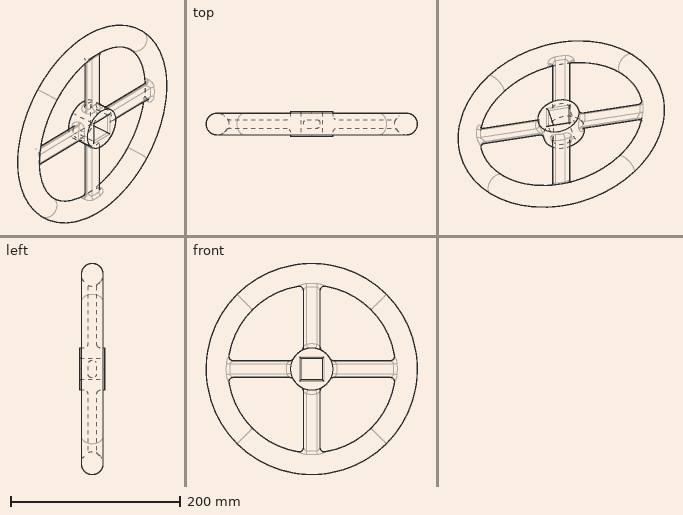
import cadquery as cq
wheel_diameter = 250.0
rim_bar_diameter = 26.0
rim_centre_radius = (wheel_diameter - rim_bar_diameter) / 2
rim_inner_radius = rim_centre_radius - rim_bar_diameter / 2

hub_diameter = 50.0
hub_radius = hub_diameter / 2
hub_length = 30.0
square_hole_side = 25.0
square_hole_edge_radius = 2.0

spoke_count = 4
spoke_pitch_angle = 360 / spoke_count
spoke_start_radius = (square_hole_side / 2 + hub_radius) / 2
spoke_width = 20.0
spoke_depth = 10.0
spoke_edge_radius = 4.0
spoke_root_radius = 5.0


def turn_about_wheel_axis(body, angle):
    return body.rotate((0, 0, 0), (0, 1, 0), angle)


def make_ring_sector(profile):
    """Revolve a YZ profile about Y through one spoke pitch, centred on the +Z spoke."""
    sector = profile.revolve(spoke_pitch_angle, (0, 0, 0), (1, 0, 0))
    return turn_about_wheel_axis(sector, -spoke_pitch_angle / 2)


def make_rim_sector():
    profile = cq.Workplane("YZ").moveTo(0, rim_centre_radius).circle(rim_bar_diameter / 2)
    return make_ring_sector(profile)


def make_hub():
    """Hub with the square hole, its edges rounded at both ends."""
    hub = cq.Workplane("XZ").circle(hub_radius).extrude(hub_length / 2, both=True)
    hole = cq.Workplane("XZ").rect(square_hole_side, square_hole_side).extrude(hub_length, both=True)
    hub = hub.cut(hole)
    for end_face in ("<Y", ">Y"):
        hub = hub.faces(end_face).edges("%LINE").fillet(square_hole_edge_radius)
    return hub


def make_spoke():
    """Straight bar along +Z, from inside the hub wall to the middle of the rim bar."""
    bar = cq.Workplane("XY").workplane(offset=spoke_start_radius)
    bar = bar.rect(spoke_width, spoke_depth).extrude(rim_centre_radius - spoke_start_radius)
    return bar.edges("|Z").fillet(spoke_edge_radius)


def joint_zone(radius):
    """Box selector around the joint of the +Z spoke with the round surface at a radius."""
    nearest = (-spoke_width, -spoke_depth, radius - spoke_root_radius)
    farthest = (spoke_width, spoke_depth, radius + spoke_root_radius)
    return cq.selectors.BoxSelector(nearest, farthest)


def make_wheel_sector():
    """The hub, one spoke and its share of the rim, blended where they meet."""
    sector = make_hub().union(make_spoke()).union(make_rim_sector())
    for radius in (hub_radius, rim_inner_radius):
        sector = sector.edges(joint_zone(radius)).fillet(spoke_root_radius)
    return sector


def make_wheel():
    """Join the sectors, keeping the faces of neighbouring rim sectors separate."""
    sector = make_wheel_sector()
    wheel = sector
    for index in range(1, spoke_count):
        wheel = wheel.union(turn_about_wheel_axis(sector, index * spoke_pitch_angle), clean=False)
    return wheel


result = make_wheel()